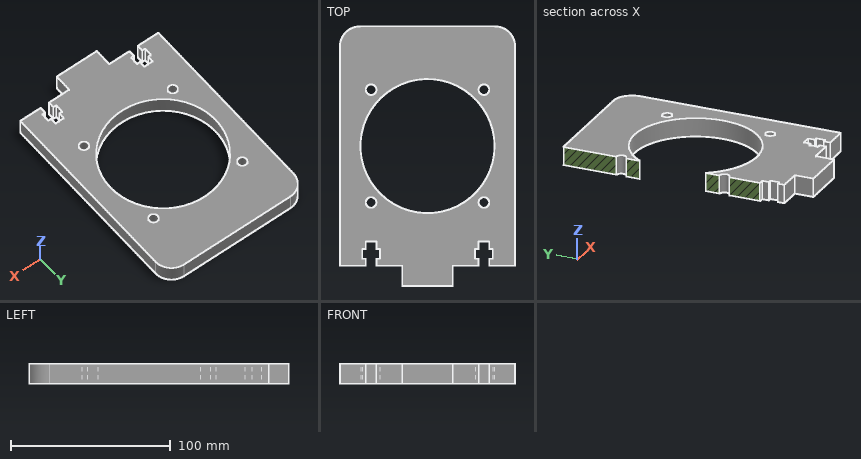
import cadquery as cq

width = 109.8
total_length = 162.7
thickness = 12.7
corner_radius = 12.7

tab_width = 31.9
tab_depth = thickness
plate_length = total_length - tab_depth

bore_diameter = 83.8
screw_diameter = 6.5
screw_spacing = 70.6

slot_width = screw_diameter
slot_depth = 15.1
nut_width = 11.0
nut_thickness = 6.0
nut_setback = 4.5

front_edge = -plate_length / 2


def box_from_front(x_center, y_start, x_size, y_size):
    """Full-thickness block running in +Y from y_start."""
    return cq.Workplane("XY").box(x_size, y_size, thickness, centered=(True, False, False)).translate(
        (x_center, y_start, 0)
    )


plate = cq.Workplane("XY").box(width, plate_length, thickness, centered=(True, True, False))
plate = plate.edges("|Z and >Y").fillet(corner_radius)

tab = box_from_front(0, front_edge - tab_depth, tab_width, tab_depth)
result = plate.union(tab)

bore = cq.Workplane("XY").circle(bore_diameter / 2).extrude(thickness)
screw_holes = (
    cq.Workplane("XY")
    .rarray(screw_spacing, screw_spacing, 2, 2)
    .circle(screw_diameter / 2)
    .extrude(thickness)
)
result = result.cut(bore).cut(screw_holes)

for slot_x in (-screw_spacing / 2, screw_spacing / 2):
    screw_slot = box_from_front(slot_x, front_edge, slot_width, slot_depth)
    nut_pocket = box_from_front(slot_x, front_edge + nut_setback, nut_width, nut_thickness)
    result = result.cut(screw_slot).cut(nut_pocket)